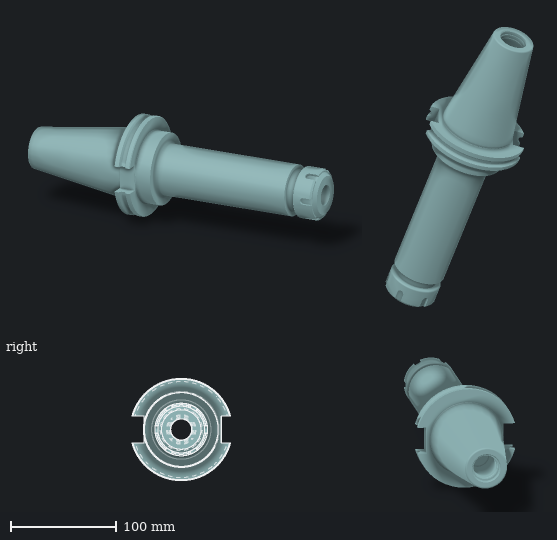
import cadquery as cq
import math


gauge_radius = 69.85 / 2
taper_length = 101.75
taper_slope = 7 / 48
small_end_radius = gauge_radius - taper_length * taper_slope
small_end_x = -taper_length
small_end_fillet = 1.8
taper_end = 0.6
land_radius = gauge_radius + taper_end * taper_slope

flange_radius = 97.18 / 2
flange_start = 3.2
flange_end = 19.1
flange_edge_chamfer = 0.8
groove_center = 11.1
groove_floor_radius = 91.25 / 2
groove_floor_width = 3.8
groove_floor_fillet = 1.0
groove_wall_angle = 30
groove_wall_run = (flange_radius - groove_floor_radius) * math.tan(math.radians(groove_wall_angle))
groove_floor_start = groove_center - groove_floor_width / 2
groove_floor_end = groove_center + groove_floor_width / 2

slot_width = 25.4
front_slot_floor = 35.5
back_slot_floor = 38.2

collar_radius = 70.2 / 2
collar_end = 35.0
body_radius = 50 / 2
body_fillet = 3.2
body_end = 171.7
neck_radius = 40 / 2

root_fillet = 0.9

through_radius = 20 / 2
mouth_radius = 28 / 2
counterbore_radius = 26.2 / 2
mouth_chamfer = mouth_radius - counterbore_radius
counterbore_depth = 4.0
relief_radius = 23.6 / 2
relief_depth = 7.0
thread_radius = 22.23 / 2
thread_chamfer = relief_radius - thread_radius
thread_depth = 45.0

nut_start = 180.3
nut_length = 22.77
nut_end = nut_start + nut_length
nut_radius = body_radius
nut_back_fillet = 1.7
nut_shoulder_x = nut_end - 3.2
nut_edge_length = 1.7
nut_edge_drop = 1.4
nut_nose_radius = 22.2
nut_face_radius = 18.8
nut_recess_depth = 15.0
neck_end = nut_start + nut_recess_depth

wrench_slot_count = 6
wrench_slot_width = 6.5
wrench_slot_start = nut_start + 7.8
wrench_slot_floor = 22.1


def drive_slot(floor, side):
    """Box that cuts one drive slot; side is -1 for -Y and +1 for +Y."""
    depth = flange_radius
    length = flange_end - flange_start
    return (
        cq.Workplane("XY")
        .box(length, depth, slot_width)
        .translate(((flange_start + flange_end) / 2, side * (floor + depth / 2), 0))
    )


def round_groove_floor(holder):
    """Fillet the two circular corners between the groove floor and its walls."""
    margin = 0.1
    reach = groove_floor_radius + margin
    groove_floor_box = cq.selectors.BoxSelector(
        (groove_floor_start - margin, -reach, -reach),
        (groove_floor_end + margin, reach, reach),
    )
    return holder.edges("%CIRCLE").edges(groove_floor_box).fillet(groove_floor_fillet)


def make_holder():
    profile = (
        cq.Workplane("XY")
        .moveTo(small_end_x, 0)
        .lineTo(small_end_x, small_end_radius)
        .lineTo(taper_end, land_radius)
        .lineTo(flange_start - root_fillet, land_radius)
        .radiusArc((flange_start, land_radius + root_fillet), -root_fillet)
        .lineTo(flange_start, flange_radius)
        .lineTo(groove_floor_start - groove_wall_run, flange_radius)
        .lineTo(groove_floor_start, groove_floor_radius)
        .lineTo(groove_floor_end, groove_floor_radius)
        .lineTo(groove_floor_end + groove_wall_run, flange_radius)
        .lineTo(flange_end - flange_edge_chamfer, flange_radius)
        .lineTo(flange_end, flange_radius - flange_edge_chamfer)
        .lineTo(flange_end, collar_radius + root_fillet)
        .radiusArc((flange_end + root_fillet, collar_radius), -root_fillet)
        .lineTo(collar_end, collar_radius)
        .lineTo(collar_end, body_radius + body_fillet)
        .radiusArc((collar_end + body_fillet, body_radius), -body_fillet)
        .lineTo(body_end, body_radius)
        .lineTo(body_end, neck_radius + root_fillet)
        .radiusArc((body_end + root_fillet, neck_radius), -root_fillet)
        .lineTo(neck_end, neck_radius)
        .lineTo(neck_end, 0)
        .close()
    )
    holder = profile.revolve(360, (0, 0, 0), (1, 0, 0))
    holder = holder.faces("<X").edges().fillet(small_end_fillet)
    holder = round_groove_floor(holder)
    holder = holder.cut(drive_slot(front_slot_floor, -1)).cut(drive_slot(back_slot_floor, 1))
    return holder.cut(make_bore())


def make_bore():
    counterbore_end = small_end_x + counterbore_depth
    relief_end = small_end_x + relief_depth
    thread_end = small_end_x + thread_depth
    return (
        cq.Workplane("XY")
        .moveTo(small_end_x, 0)
        .lineTo(small_end_x, mouth_radius)
        .lineTo(small_end_x + mouth_chamfer, counterbore_radius)
        .lineTo(counterbore_end, counterbore_radius)
        .lineTo(counterbore_end, relief_radius)
        .lineTo(relief_end, relief_radius)
        .lineTo(relief_end + thread_chamfer, thread_radius)
        .lineTo(thread_end, thread_radius)
        .lineTo(thread_end, through_radius)
        .lineTo(neck_end, through_radius)
        .lineTo(neck_end, 0)
        .close()
        .revolve(360, (0, 0, 0), (1, 0, 0))
    )


def wrench_slot(angle):
    """Round-ended cutter, open towards the nut face, turned about X by angle degrees from -Y."""
    end_center = wrench_slot_start + wrench_slot_width / 2
    length = nut_end - end_center
    height = nut_radius
    straight = cq.Workplane("XZ").box(length, wrench_slot_width, height)
    straight = straight.translate((end_center + length / 2, 0, 0))
    round_end = cq.Workplane("XZ").cylinder(height, wrench_slot_width / 2).translate((end_center, 0, 0))
    cutter = straight.union(round_end).translate((0, -wrench_slot_floor - height / 2, 0))
    return cutter.rotate((0, 0, 0), (1, 0, 0), angle)


def make_nut():
    shoulder_radius = nut_radius - nut_edge_drop
    nut = (
        cq.Workplane("XY")
        .moveTo(nut_start, neck_radius)
        .lineTo(nut_start, nut_radius - nut_back_fillet)
        .radiusArc((nut_start + nut_back_fillet, nut_radius), nut_back_fillet)
        .lineTo(nut_shoulder_x - nut_edge_length, nut_radius)
        .lineTo(nut_shoulder_x, shoulder_radius)
        .lineTo(nut_shoulder_x, nut_nose_radius)
        .lineTo(nut_end, nut_face_radius)
        .lineTo(nut_end, through_radius)
        .lineTo(neck_end, through_radius)
        .lineTo(neck_end, neck_radius)
        .close()
        .revolve(360, (0, 0, 0), (1, 0, 0))
    )
    for index in range(wrench_slot_count):
        nut = nut.cut(wrench_slot(index * 360 / wrench_slot_count))
    return nut


holder = make_holder()
nut = make_nut()
result = cq.Compound.makeCompound([holder.val(), nut.val()])